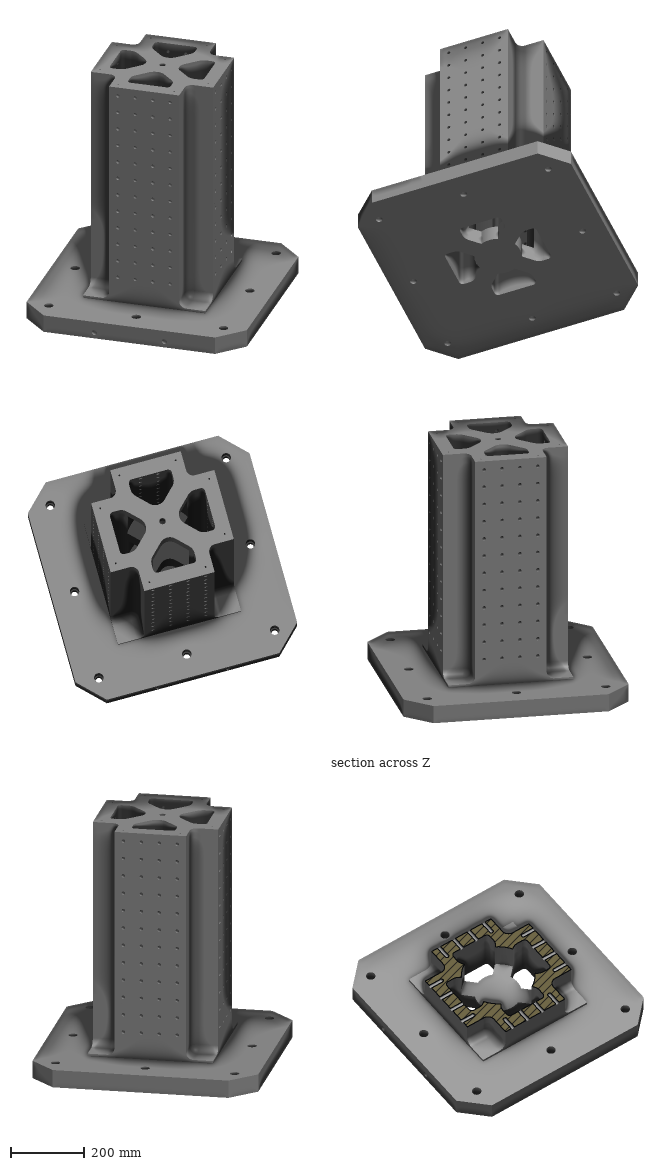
import cadquery as cq
import math

plate_side = 630.0
plate_thickness = 50.0
plate_corner_cut = 70.0

total_height = 700.0
column_side = 350.0
arm_width = 200.0
foot_height = 7.0
notch_fillet = 20.0

wall_thickness = 40.0
web_thickness = 50.0
pocket_width = 122.0
pocket_web_radius = 30.0
pocket_wall_radius = 10.5
floor_disc_radius = 65.0

top_web_height = 60.0
middle_web_height = 99.5
window_radius = 100.0

grid_line_steps = [-1.5, -0.5, 0.5, 1.5]
grid_rows = 12
pitches_in_height = 14
grid_pitch = total_height / pitches_in_height
grid_hole_diameter = 10.0

bolt_spacing = 250.0
bolt_diameter = 18.0
bolt_head_diameter = 26.0
bolt_head_depth = 30.0

edge_hole_offset = 100.0
edge_hole_height = 17.5
edge_hole_diameter = 14.0
edge_hole_depth = 30.0

centre_hole_diameter = 17.5
centre_hole_depth = 35.0
pin_hole_diameter = 5.0
pin_hole_depth = 15.0
pin_hole_side = 80.0
pin_hole_reach = 155.0

drill_point_angle = 118.0

quarter_turns = [0, 90, 180, 270]
column_half = column_side / 2
origin = cq.Vector(0, 0, 0)
axis_z = cq.Vector(0, 0, 1)


def around_axis(solid):
    """Copies of the solid in all four quarter turns about Z."""
    return [solid.rotate(origin, axis_z, angle) for angle in quarter_turns]


def cut_all(body, solids):
    """The body with every solid removed."""
    return body.cut(cq.Workplane(obj=cq.Compound.makeCompound(solids)))


def drilled_hole(mouth, direction, diameter, depth):
    """Cylinder with a conical drill point, starting at its mouth."""
    radius = diameter / 2
    point_length = radius / math.tan(math.radians(drill_point_angle / 2))
    shaft = cq.Solid.makeCylinder(radius, depth, mouth, direction)
    point = cq.Solid.makeCone(radius, 0, point_length, mouth + direction * depth, direction)
    return shaft.fuse(point)


def base_plate():
    plate = cq.Workplane("XY").box(plate_side, plate_side, plate_thickness, centered=(True, True, False))
    return plate.edges("|Z").chamfer(plate_corner_cut)


def corner_notch():
    """Block removed from the +X +Y column corner, rounded along its three inner edges."""
    start = arm_width / 2
    floor = plate_thickness + foot_height
    notch = (
        cq.Workplane("XY")
        .box(column_half, column_half, total_height, centered=False)
        .translate((start, start, floor))
    )
    inner_edges = "(<X and <Y) or (<X and <Z) or (<Y and <Z)"
    return notch.edges(inner_edges).fillet(notch_fillet).val()


def column():
    height = total_height - plate_thickness
    block = (
        cq.Workplane("XY")
        .box(column_side, column_side, height, centered=(True, True, False))
        .translate((0, 0, plate_thickness))
    )
    return cut_all(block, around_axis(corner_notch()))


def pocket():
    """Five-sided pocket in the +Y arm, full height but leaving the floor disc in the plate."""
    half_width = pocket_width / 2
    apex = web_thickness / math.sqrt(2)
    shoulder = apex + half_width
    outer = column_half - wall_thickness
    outline = [
        (0, apex),
        (half_width, shoulder),
        (half_width, outer),
        (-half_width, outer),
        (-half_width, shoulder),
    ]
    prism = cq.Workplane("XY").polyline(outline).close().extrude(total_height)
    prism = prism.edges("|Z and (not >Y)").fillet(pocket_web_radius)
    prism = prism.edges("|Z and >Y").fillet(pocket_wall_radius)
    floor_disc = cq.Workplane("XY").circle(floor_disc_radius).extrude(plate_thickness)
    return prism.cut(floor_disc).val()


def web_windows():
    """Two round chambers that join the four pockets above and below the middle web."""
    middle = total_height / 2
    spans = [
        (plate_thickness, middle - middle_web_height / 2),
        (middle + middle_web_height / 2, total_height - top_web_height),
    ]
    return [
        cq.Solid.makeCylinder(window_radius, top - bottom, cq.Vector(0, 0, bottom))
        for bottom, top in spans
    ]


def face_holes():
    """Hole grid on the -Y column face; the inner columns of holes open into the pocket."""
    inward = cq.Vector(0, 1, 0)
    holes = []
    for row in range(grid_rows):
        z = total_height - grid_pitch * (row + 0.5)
        for step in grid_line_steps:
            mouth = cq.Vector(grid_pitch * step, -column_half, z)
            holes.append(drilled_hole(mouth, inward, grid_hole_diameter, wall_thickness))
    return holes


def edge_holes():
    """Pair of blind holes in the -Y plate edge."""
    inward = cq.Vector(0, 1, 0)
    mouths = [
        cq.Vector(x, -plate_side / 2, edge_hole_height)
        for x in (-edge_hole_offset, edge_hole_offset)
    ]
    return [drilled_hole(mouth, inward, edge_hole_diameter, edge_hole_depth) for mouth in mouths]


def top_holes():
    """Centre hole and a pair of pin holes on each arm."""
    down = cq.Vector(0, 0, -1)
    centre = cq.Vector(0, 0, total_height)
    holes = [drilled_hole(centre, down, centre_hole_diameter, centre_hole_depth)]
    for x in (-pin_hole_side, pin_hole_side):
        mouth = cq.Vector(x, pin_hole_reach, total_height)
        holes += around_axis(drilled_hole(mouth, down, pin_hole_diameter, pin_hole_depth))
    return holes


def bolt_holes():
    """Counterbored through holes at the plate corners and the middles of its sides."""
    head_floor = plate_thickness - bolt_head_depth
    holes = []
    for x in (0, bolt_spacing):
        base = cq.Vector(x, bolt_spacing, 0)
        seat = cq.Vector(x, bolt_spacing, head_floor)
        shank = cq.Solid.makeCylinder(bolt_diameter / 2, plate_thickness, base)
        head = cq.Solid.makeCylinder(bolt_head_diameter / 2, bolt_head_depth, seat)
        holes += around_axis(shank.fuse(head))
    return holes


result = base_plate().union(column())
result = cut_all(result, around_axis(pocket()))
result = cut_all(result, web_windows())
result = cut_all(result, [turned for hole in face_holes() for turned in around_axis(hole)])
result = cut_all(result, bolt_holes() + top_holes() + edge_holes())